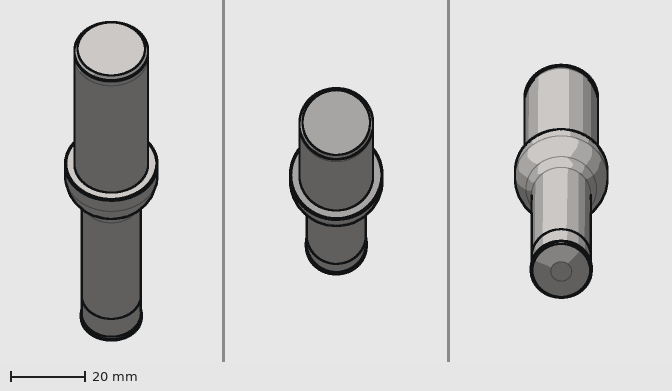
import cadquery as cq
import math

total_length = 118.0

shank_radius = 20.0 / 2
end_flat_radius = 9.1
end_chamfer_height = 1.0
end_land_height = 0.5
groove_radius = 9.7
groove_height = 1.0
groove_taper_height = 1.1

collar_radius = 25.0 / 2
collar_top_z = 68.0
collar_bottom_z = 63.0
collar_chamfer = 0.4
shoulder_radius = 10.0
neck_radius = 5.2

stem_radius = 15.9 / 2
joint_z = 10.3
lip_radius = 8.3
lip_flare_top_z = 2.5
lip_top_z = 1.8
lip_bottom_z = 1.2
dome_edge_z = 0.7
dome_edge_radius = 7.8
dome_flat_radius = 2.8

land_top_z = total_length - end_chamfer_height
groove_top_z = land_top_z - end_land_height
groove_bottom_z = groove_top_z - groove_height
groove_taper_z = groove_bottom_z - groove_taper_height

round_sum = shoulder_radius + neck_radius
blend_angle = math.acos(1 - (collar_radius - stem_radius) / round_sum)
shoulder_center_r = collar_radius - shoulder_radius
neck_center_r = stem_radius + neck_radius
neck_bottom_z = collar_bottom_z - round_sum * math.sin(blend_angle)


def shoulder_point(angle):
    """Point (r, z) on the convex round, measured down from the collar edge."""
    return (
        shoulder_center_r + shoulder_radius * math.cos(angle),
        collar_bottom_z - shoulder_radius * math.sin(angle),
    )


def neck_point(angle):
    """Point (r, z) on the concave round, measured up from the stem."""
    return (
        neck_center_r - neck_radius * math.cos(angle),
        neck_bottom_z + neck_radius * math.sin(angle),
    )


def revolve_about_z(profile):
    """Full turn of an (r, z) profile around the Z axis."""
    return profile.close().revolve(360, (0, 0), (0, 1))


def make_pin():
    """Stepped pin: stem, rounded collar and grooved shank."""
    profile = (
        cq.Workplane("XZ")
        .moveTo(0, joint_z)
        .lineTo(stem_radius, joint_z)
        .lineTo(stem_radius, neck_bottom_z)
        .threePointArc(neck_point(blend_angle / 2), neck_point(blend_angle))
        .threePointArc(shoulder_point(blend_angle / 2), shoulder_point(0))
        .lineTo(collar_radius, collar_top_z - collar_chamfer)
        .lineTo(collar_radius - collar_chamfer, collar_top_z)
        .lineTo(shank_radius, collar_top_z)
        .lineTo(shank_radius, groove_taper_z)
        .lineTo(groove_radius, groove_bottom_z)
        .lineTo(groove_radius, groove_top_z)
        .lineTo(shank_radius, groove_top_z)
        .lineTo(shank_radius, land_top_z)
        .lineTo(end_flat_radius, total_length)
        .lineTo(0, total_length)
    )
    return revolve_about_z(profile)


def make_end_cap():
    """Cap below the stem, with a flared lip and a domed end."""
    dome_center_z = (dome_edge_radius**2 + dome_edge_z**2 - dome_flat_radius**2) / (2 * dome_edge_z)
    dome_radius = math.hypot(dome_flat_radius, dome_center_z)
    dome_mid_r = (dome_flat_radius + dome_edge_radius) / 2
    dome_mid = (dome_mid_r, dome_center_z - math.sqrt(dome_radius**2 - dome_mid_r**2))
    profile = (
        cq.Workplane("XZ")
        .moveTo(0, 0)
        .lineTo(dome_flat_radius, 0)
        .threePointArc(dome_mid, (dome_edge_radius, dome_edge_z))
        .lineTo(lip_radius, lip_bottom_z)
        .lineTo(lip_radius, lip_top_z)
        .lineTo(stem_radius, lip_flare_top_z)
        .lineTo(stem_radius, joint_z)
        .lineTo(0, joint_z)
    )
    return revolve_about_z(profile)


pin = make_pin()
end_cap = make_end_cap()

result = cq.Compound.makeCompound([pin.val(), end_cap.val()])